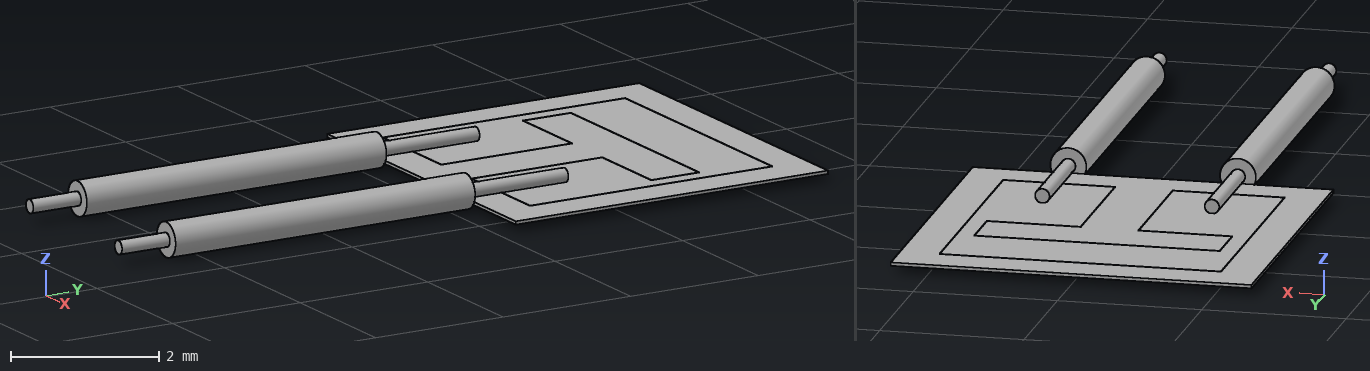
import cadquery as cq

jacket_diameter = 0.5
wire_diameter = 0.2
wire_axis_height = jacket_diameter / 2

sheet_width = 5.0
sheet_length = 4.9
sheet_thickness = 0.05

foil_margin = 0.55
foil_thickness = 0.005
foil_width = sheet_width - 2 * foil_margin
foil_front = foil_margin
foil_back = sheet_length - foil_margin
pad_gap = 0.8
back_band_depth = 1.0
side_leg_width = 0.25
crossbar_depth = 0.75

pad_width = (foil_width - pad_gap) / 2
lead_offset = (pad_gap + pad_width) / 2
wire_on_pad = 1.0
wire_back = foil_front + wire_on_pad
jacket_length = 4.7
bare_tail = 0.75
wire_length = wire_back + jacket_length + bare_tail

sheet_top = wire_axis_height - wire_diameter / 2
sheet_bottom = sheet_top - sheet_thickness


def make_foil():
    """Square foil with a T-shaped opening that leaves two front pads."""
    half_width = foil_width / 2
    half_bar = half_width - side_leg_width
    half_gap = pad_gap / 2
    bar_back = foil_back - back_band_depth
    bar_front = bar_back - crossbar_depth
    return (
        cq.Workplane("XY", origin=(0, 0, sheet_top))
        .moveTo(-half_width, foil_front)
        .lineTo(-half_width, foil_back)
        .lineTo(half_width, foil_back)
        .lineTo(half_width, foil_front)
        .lineTo(half_gap, foil_front)
        .lineTo(half_gap, bar_front)
        .lineTo(half_bar, bar_front)
        .lineTo(half_bar, bar_back)
        .lineTo(-half_bar, bar_back)
        .lineTo(-half_bar, bar_front)
        .lineTo(-half_gap, bar_front)
        .lineTo(-half_gap, foil_front)
        .close()
        .extrude(foil_thickness)
    )


def make_sheet():
    """Flat rectangular sheet that carries the foil and the wires."""
    return cq.Workplane("XY", origin=(0, 0, sheet_bottom)).box(
        sheet_width, sheet_length, sheet_thickness, centered=(True, False, False)
    )


def lead_section(x, back):
    """Plane across a lead at the given Y; extrusions from it run toward -Y."""
    return cq.Workplane("XZ", origin=(x, back, wire_axis_height))


def make_wire(x, foil):
    """Round wire from the pad through the jacket to its tail, with a shallow seat for the foil."""
    rod = lead_section(x, wire_back).circle(wire_diameter / 2).extrude(wire_length)
    return rod.cut(foil)


def make_jacket(x):
    """Insulating tube around the wire, starting at the sheet's front edge."""
    outline = lead_section(x, 0).circle(jacket_diameter / 2).circle(wire_diameter / 2)
    return outline.extrude(jacket_length)


foil = make_foil()
sheet = make_sheet()
leads = []
for lead_x in (-lead_offset, lead_offset):
    leads.append(make_wire(lead_x, foil).val())
    leads.append(make_jacket(lead_x).val())

result = cq.Compound.makeCompound([sheet.val(), foil.val(), *leads])